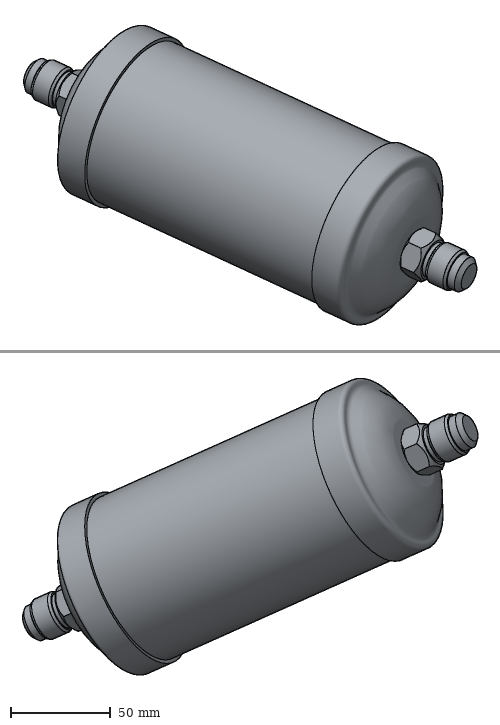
import cadquery as cq
import math


total_length = 266.0
shell_radius = 88.9 / 2
half_length = total_length / 2

cap_radius = 92.8 / 2
cap_width = 30.0
dome_flat_radius = 18.4
shoulder_radius = 25.0
cone_length = 4.0
cone_blend_radius = 3.5
rim_round = 2.4

fitting_length = 34.0
stub_radius = 19.0 / 2
tip_chamfer = 2.5
thread_radius = 22.23 / 2
thread_start = 6.8
thread_end = 19.4
thread_chamfer_length = 1.5
thread_chamfer_depth = 0.8

hex_start = 22.0
hex_length = fitting_length - hex_start
hex_sides = 6
hex_across_flats = 23.2
hex_inner_radius = hex_across_flats / 2
hex_corner_radius = hex_inner_radius / math.cos(math.pi / hex_sides)
hex_tip_radius = 10.7
hex_tip_chamfer = hex_corner_radius - hex_tip_radius
hex_back_chamfer = hex_corner_radius - hex_inner_radius

shoulder_arc_direction = 157.5
cone_blend_arc_direction = -22.5
rim_arc_direction = 135.0

sin_45 = math.sin(math.radians(45))


def revolve_about_x(profile):
    return profile.close().revolve(360, (0, 0, 0), (1, 0, 0))


def arc_middle(center, radius, angle):
    """Point on a circle at an angle in degrees."""
    angle = math.radians(angle)
    return center[0] + radius * math.cos(angle), center[1] + radius * math.sin(angle)


def make_body_half():
    """Half of the shell with its end cap, on the -X side."""
    dome_x = fitting_length - half_length
    shoulder_center = (dome_x + shoulder_radius, dome_flat_radius)
    cone_start_x = shoulder_center[0] - shoulder_radius * sin_45
    cone_start_r = dome_flat_radius + shoulder_radius * sin_45
    cone_end_x = cone_start_x + cone_length
    cone_end_r = cone_start_r + cone_length
    rim_x = cone_end_x + cone_blend_radius * (1 - sin_45)
    blend_end_r = cone_end_r + cone_blend_radius * sin_45
    blend_center = (rim_x - cone_blend_radius, blend_end_r)
    rim_center = (rim_x + rim_round, cap_radius - rim_round)
    band_end_x = dome_x + cap_width

    shoulder_middle = arc_middle(shoulder_center, shoulder_radius, shoulder_arc_direction)
    blend_middle = arc_middle(blend_center, cone_blend_radius, cone_blend_arc_direction)
    rim_middle = arc_middle(rim_center, rim_round, rim_arc_direction)

    profile = (
        cq.Workplane("XY")
        .moveTo(0, 0)
        .lineTo(dome_x, 0)
        .lineTo(dome_x, dome_flat_radius)
        .threePointArc(shoulder_middle, (cone_start_x, cone_start_r))
        .lineTo(cone_end_x, cone_end_r)
        .threePointArc(blend_middle, (rim_x, blend_end_r))
        .lineTo(rim_x, rim_center[1])
        .threePointArc(rim_middle, (rim_center[0], cap_radius))
        .lineTo(band_end_x, cap_radius)
        .lineTo(band_end_x, shell_radius)
        .lineTo(0, shell_radius)
    )
    return revolve_about_x(profile)


def make_hexagon():
    """Hexagon with corners on +Z and -Z, both ends turned to 45 degree cones; starts at X = 0."""
    prism = (
        cq.Workplane("YZ")
        .polygon(hex_sides, 2 * hex_corner_radius)
        .extrude(hex_length)
        .rotate((0, 0, 0), (1, 0, 0), 90)
    )
    turned_profile = (
        cq.Workplane("XY")
        .moveTo(0, 0)
        .lineTo(0, hex_tip_radius)
        .lineTo(hex_tip_chamfer, hex_corner_radius)
        .lineTo(hex_length - hex_back_chamfer, hex_corner_radius)
        .lineTo(hex_length, hex_inner_radius)
        .lineTo(hex_length, 0)
    )
    return prism.intersect(revolve_about_x(turned_profile))


def make_fitting():
    """Fitting of the -X end."""
    thread_root_radius = thread_radius - thread_chamfer_depth
    profile = (
        cq.Workplane("XY")
        .moveTo(0, 0)
        .lineTo(0, stub_radius - tip_chamfer)
        .lineTo(tip_chamfer, stub_radius)
        .lineTo(thread_start, stub_radius)
        .lineTo(thread_start, thread_root_radius)
        .lineTo(thread_start + thread_chamfer_length, thread_radius)
        .lineTo(thread_end - thread_chamfer_length, thread_radius)
        .lineTo(thread_end, thread_root_radius)
        .lineTo(thread_end, stub_radius)
        .lineTo(fitting_length, stub_radius)
        .lineTo(fitting_length, 0)
    )
    hexagon = make_hexagon().translate((hex_start, 0, 0))
    return revolve_about_x(profile).union(hexagon).translate((-half_length, 0, 0))


body_half = make_body_half()
body = body_half.union(body_half.mirror("YZ"))

left_fitting = make_fitting()
right_fitting = left_fitting.mirror("YZ").rotate((0, 0, 0), (1, 0, 0), 90)

result = body.union(left_fitting).union(right_fitting)